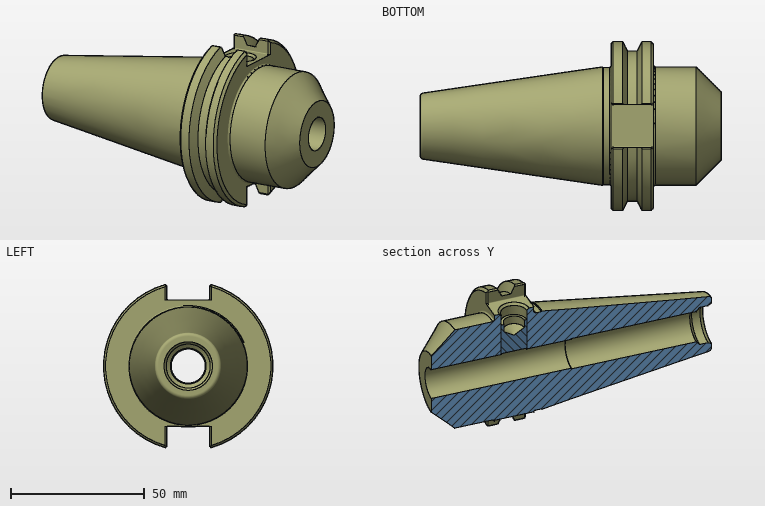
import cadquery as cq
import math

total_length = 112.7

gauge_position = 68.2
gauge_diameter = 44.4
taper_ratio = 7 / 24
end_fillet = 1.4
neck_diameter = 44.0
neck_step_length = 0.3
root_fillet = 0.7

flange_start = 71.5
flange_width = 15.9
flange_diameter = 63.5
rear_chamfer = 0.8
front_chamfer = 1.0
groove_diameter = 56.4
groove_bottom_width = 3.6
groove_angle = 27.0

nose_diameter = gauge_diameter
nose_chamfer = 9.5

slot_width = 16.0
slot_chamfer = 0.7
slot_floor_fillet = 0.3
upper_slot_floor = 24.8
lower_slot_floor = 22.5

entry_diameter = 18.1
entry_depth = 1.5
counterbore_diameter = 16.5
counterbore_depth = 4.8
rear_bore_diameter = 13.4
rear_bore_start = 6.2
tool_bore_diameter = 12.7
tool_bore_start = 56.4

screw_diameter = 10.1
screw_hole_chamfer = 0.9
screw_recess = 5.0
screw_bottom = 6.8
socket_diameter = 8.0
socket_depth = 3.4
socket_point_angle = 118.0

flange_end = flange_start + flange_width
flange_middle = flange_start + flange_width / 2
flange_radius = flange_diameter / 2
neck_radius = neck_diameter / 2
nose_radius = nose_diameter / 2
screw_top = upper_slot_floor - screw_recess


def revolve_about_x(points):
    return cq.Workplane("XY").polyline(points).close().revolve(360, (0, 0, 0), (1, 0, 0))


def shank():
    small_radius = (gauge_diameter - gauge_position * taper_ratio) / 2
    taper = revolve_about_x([
        (0, 0),
        (0, small_radius),
        (gauge_position, gauge_diameter / 2),
        (gauge_position + neck_step_length, neck_radius),
        (flange_start, neck_radius),
        (flange_start, 0),
    ])
    return taper.faces("<X").edges().fillet(end_fillet)


def flange():
    groove_radius = groove_diameter / 2
    groove_half_bottom = groove_bottom_width / 2
    groove_run = (flange_radius - groove_radius) * math.tan(math.radians(groove_angle))
    groove_half_top = groove_half_bottom + groove_run
    return revolve_about_x([
        (flange_start, 0),
        (flange_start, flange_radius - rear_chamfer),
        (flange_start + rear_chamfer, flange_radius),
        (flange_middle - groove_half_top, flange_radius),
        (flange_middle - groove_half_bottom, groove_radius),
        (flange_middle + groove_half_bottom, groove_radius),
        (flange_middle + groove_half_top, flange_radius),
        (flange_end - front_chamfer, flange_radius),
        (flange_end, flange_radius - front_chamfer),
        (flange_end, 0),
    ])


def nose():
    return revolve_about_x([
        (flange_end, 0),
        (flange_end, nose_radius),
        (total_length - nose_chamfer, nose_radius),
        (total_length, nose_radius - nose_chamfer),
        (total_length, 0),
    ])


def root_blend(face_position, radius, direction):
    """Ring with a concave quarter round between a flange face and the cylinder beside it."""
    foot = face_position + direction * root_fillet
    bulge = root_fillet * (1 - math.sqrt(0.5))
    profile = (
        cq.Workplane("XY")
        .moveTo(face_position, 0)
        .lineTo(foot, 0)
        .lineTo(foot, radius)
        .threePointArc(
            (face_position + direction * bulge, radius + bulge),
            (face_position, radius + root_fillet),
        )
        .close()
    )
    return profile.revolve(360, (0, 0, 0), (1, 0, 0))


def slot_end_flare(face_position, direction, floor, height):
    """Tapered prism that chamfers both slot walls where they meet one flange face."""
    half = slot_width / 2
    wide = half + slot_chamfer
    inner_position = face_position + direction * slot_chamfer
    return (
        cq.Workplane("XY", origin=(0, 0, floor))
        .polyline([
            (face_position, -wide),
            (inner_position, -half),
            (inner_position, half),
            (face_position, wide),
        ])
        .close()
        .extrude(height)
    )


def drive_slot(floor):
    """Cutter for an upward slot, filleted at the floor and chamfered at the flange faces and rim."""
    half = slot_width / 2
    height = flange_radius - floor
    corner_height = math.sqrt(flange_radius ** 2 - half ** 2)
    channel = (
        cq.Workplane("XY", origin=(flange_middle, 0, floor))
        .box(flange_width, slot_width, height, centered=(True, True, False))
        .faces("<Z")
        .edges("|X")
        .fillet(slot_floor_fillet)
    )
    rear_flare = slot_end_flare(flange_start, 1, floor, height)
    front_flare = slot_end_flare(flange_end, -1, floor, height)
    rim_start = corner_height - slot_chamfer
    rim_half = half + flange_radius - rim_start
    rim = (
        cq.Workplane("YZ", origin=(flange_start, 0, 0))
        .polyline([
            (-half, rim_start),
            (half, rim_start),
            (rim_half, flange_radius),
            (-rim_half, flange_radius),
        ])
        .close()
        .extrude(flange_width)
    )
    return channel.union(rear_flare).union(front_flare).union(rim)


def axial_bore():
    return revolve_about_x([
        (0, 0),
        (0, entry_diameter / 2),
        (entry_depth, counterbore_diameter / 2),
        (counterbore_depth, counterbore_diameter / 2),
        (rear_bore_start, rear_bore_diameter / 2),
        (tool_bore_start, rear_bore_diameter / 2),
        (tool_bore_start, tool_bore_diameter / 2),
        (total_length, tool_bore_diameter / 2),
        (total_length, 0),
    ])


def screw_hole():
    """Countersunk hole from the upper slot floor down into the axial bore."""
    radius = screw_diameter / 2
    return (
        cq.Workplane("XZ", origin=(flange_middle, 0, 0))
        .polyline([
            (0, 0),
            (radius, 0),
            (radius, upper_slot_floor - screw_hole_chamfer),
            (radius + screw_hole_chamfer, upper_slot_floor),
            (0, upper_slot_floor),
        ])
        .close()
        .revolve(360, (0, 0, 0), (0, 1, 0))
    )


def make_holder():
    body = shank().union(flange()).union(nose())
    body = body.union(root_blend(flange_start, neck_radius, -1))
    body = body.union(root_blend(flange_end, nose_radius, 1))
    upper_slot = drive_slot(upper_slot_floor)
    lower_slot = drive_slot(lower_slot_floor).rotate((0, 0, 0), (1, 0, 0), 180)
    return body.cut(upper_slot).cut(lower_slot).cut(axial_bore()).cut(screw_hole())


def make_clamping_screw():
    """Plain set screw with a round, cone-bottomed socket in its top."""
    radius = screw_diameter / 2
    socket_radius = socket_diameter / 2
    socket_floor = screw_top - socket_depth
    point_depth = socket_radius / math.tan(math.radians(socket_point_angle / 2))
    return (
        cq.Workplane("XZ", origin=(flange_middle, 0, 0))
        .polyline([
            (0, screw_bottom),
            (radius, screw_bottom),
            (radius, screw_top),
            (socket_radius, screw_top),
            (socket_radius, socket_floor),
            (0, socket_floor - point_depth),
        ])
        .close()
        .revolve(360, (0, 0, 0), (0, 1, 0))
    )


holder = make_holder()
clamping_screw = make_clamping_screw()

result = cq.Compound.makeCompound([holder.solids().val(), clamping_screw.val()])